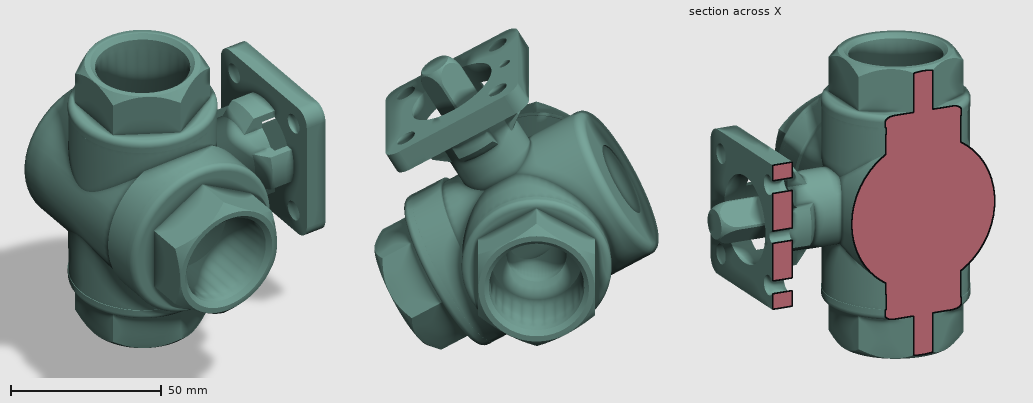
import cadquery as cq
import math


body_dia = 53.5
body_end_x = -32.8
body_end_fillet = 3.0
collar_dia = 56.0
collar_start_x = 20.8
side_lip_dia = 56.1
side_neck_end = 35.6

neck_dia = 49.6
neck_lip_dia = 50.0
neck_end = 36.0

lip_length = 4.0
lip_fillet = 2.0

recess_dia = 25.5
recess_depth = 0.5

hex_flats = 39.0
hex_corner_dia = hex_flats / math.cos(math.radians(30))
hex_chamfer = 3.15
hex_root_overlap = 1.0
vertical_port_end = 51.2
side_port_end = 51.3
bore_dia = 20.0
mouth_dia = 34.9
thread_top_dia = 31.8
thread_bottom_dia = 30.7
thread_depth = 24.0
drill_tip_angle = 118.0

housing_dia = 26.3
housing_end_y = 43.7

stem_square = 11.0
stem_corner_dia = 14.7
stem_tip_y = 67.6
stem_tip_dia = 10.3
stem_dome_length = 5.85

flange_size = 51.0
flange_corner_radius = 5.2
flange_start_y = 48.8
flange_thickness = 7.5
flange_end_y = flange_start_y + flange_thickness
flange_bore_dia = 30.7
bolt_circle_dia = 50.0
bolt_hole_dia = 7.0
bolt_offset = bolt_circle_dia / 2 * math.sin(math.radians(45))
stop_hole_dia = 4.13
stop_hole_x = -20.4

lug_width = 13.0
lug_outer_dia = 35.5
lug_taper_start_y = 40.3
lug_taper_end_y = 36.4


def cylinder_along_y(diameter, y_start, y_end, x=0.0, z=0.0):
    """Round bar parallel to Y."""
    workplane = cq.Workplane("XZ", origin=(x, y_start, z))
    return workplane.circle(diameter / 2).extrude(y_start - y_end)


def square_along_y(size, y_start, y_end):
    """Square bar centred on the Y axis."""
    return cq.Workplane("XZ", origin=(0, y_start, 0)).rect(size, size).extrude(y_start - y_end)


def lip(diameter, end):
    """Rim along Z whose outer edge, at the given height, is rounded."""
    rim = cq.Workplane("XY").workplane(offset=end - lip_length).circle(diameter / 2).extrude(lip_length)
    return rim.faces(">Z").edges().fillet(lip_fillet)


def hex_end(root, end):
    """Hexagon along Z with corners on X and a 45 degree conical chamfer at its free end."""
    start = root - hex_root_overlap
    length = end - start
    hexagon = cq.Workplane("XY").workplane(offset=start).polygon(6, hex_corner_dia).extrude(length)
    envelope = cq.Workplane("XY").workplane(offset=start).circle(hex_corner_dia / 2).extrude(length)
    return hexagon.intersect(envelope.faces(">Z").chamfer(hex_chamfer))


def port_bore(end):
    """Cutter along Z: chamfered mouth, tapered thread bore, drill-tip cone, passage to the centre."""
    bore_radius = bore_dia / 2
    mouth_radius = mouth_dia / 2
    thread_top_radius = thread_top_dia / 2
    thread_bottom_radius = thread_bottom_dia / 2
    thread_top = end - (mouth_radius - thread_top_radius)
    thread_bottom = end - thread_depth
    tip_slope = math.tan(math.radians(drill_tip_angle / 2))
    tip_bottom = thread_bottom - (thread_bottom_radius - bore_radius) / tip_slope
    profile = cq.Workplane("XZ").polyline([
        (0, 0),
        (bore_radius, 0),
        (bore_radius, tip_bottom),
        (thread_bottom_radius, thread_bottom),
        (thread_top_radius, thread_top),
        (mouth_radius, end),
        (0, end),
    ])
    return profile.close().revolve(360, (0, 0, 0), (0, 1, 0))


def to_side_port(shape):
    """Turn a shape built along +Z onto +X."""
    return shape.rotate((0, 0, 0), (0, 1, 0), 90)


def to_bottom_port(shape):
    """Turn a shape built along +Z onto -Z."""
    return shape.rotate((0, 0, 0), (1, 0, 0), 180)


def make_body():
    """Main body cylinder with its rounded closed end, recess and wider collar."""
    body_length = side_neck_end - lip_length - body_end_x
    body = cq.Workplane("YZ", origin=(body_end_x, 0, 0)).circle(body_dia / 2).extrude(body_length)
    body = body.faces("<X").edges().fillet(body_end_fillet)
    recess = cq.Workplane("YZ", origin=(body_end_x, 0, 0)).circle(recess_dia / 2).extrude(recess_depth)
    collar_length = side_neck_end - lip_length - collar_start_x
    collar = cq.Workplane("YZ", origin=(collar_start_x, 0, 0)).circle(collar_dia / 2).extrude(collar_length)
    return body.cut(recess).union(collar)


def make_vertical_port():
    """Neck, lip and hexagon of the port on +Z."""
    neck = cq.Workplane("XY").circle(neck_dia / 2).extrude(neck_end - lip_length)
    return neck.union(lip(neck_lip_dia, neck_end)).union(hex_end(neck_end, vertical_port_end))


def make_side_port():
    """Lip and hexagon of the port on +X."""
    port = lip(side_lip_dia, side_neck_end).union(hex_end(side_neck_end, side_port_end))
    return to_side_port(port)


def make_stem():
    """Square stem with rounded corners and a domed tip."""
    corner_radius = stem_corner_dia / 2
    tip_radius = stem_tip_dia / 2
    inset = corner_radius - tip_radius
    dome_radius = (inset ** 2 + stem_dome_length ** 2) / (2 * inset)
    dome_start_y = stem_tip_y - stem_dome_length
    half_angle = math.asin(stem_dome_length / dome_radius) / 2
    dome_middle = (
        corner_radius - dome_radius * (1 - math.cos(half_angle)),
        dome_start_y + dome_radius * math.sin(half_angle),
    )
    envelope = (
        cq.Workplane("XY")
        .lineTo(corner_radius, 0)
        .lineTo(corner_radius, dome_start_y)
        .threePointArc(dome_middle, (tip_radius, stem_tip_y))
        .lineTo(0, stem_tip_y)
        .close()
        .revolve(360, (0, 0, 0), (0, 1, 0))
    )
    bar = square_along_y(stem_square, housing_end_y, stem_tip_y).rotate((0, 0, 0), (0, 1, 0), 45)
    return bar.intersect(envelope)


def make_lugs():
    """Four lugs, on +X, -X, +Z and -Z, tapering into the stem housing."""
    inner_radius = flange_bore_dia / 2
    outer_radius = lug_outer_dia / 2
    housing_radius = housing_dia / 2
    ring = (
        cq.Workplane("XY")
        .moveTo(0, lug_taper_end_y)
        .lineTo(housing_radius, lug_taper_end_y)
        .lineTo(outer_radius, lug_taper_start_y)
        .lineTo(outer_radius, flange_start_y)
        .lineTo(inner_radius, flange_start_y)
        .lineTo(inner_radius, housing_end_y)
        .lineTo(0, housing_end_y)
        .close()
        .revolve(360, (0, 0, 0), (0, 1, 0))
    )
    height = flange_start_y - lug_taper_end_y
    middle_y = (flange_start_y + lug_taper_end_y) / 2
    bar_x = cq.Workplane("XY").box(lug_outer_dia, height, lug_width)
    bar_z = cq.Workplane("XY").box(lug_width, height, lug_outer_dia)
    return ring.intersect(bar_x.union(bar_z).translate((0, middle_y, 0)))


def make_flange():
    """Square flange with a central bore, four bolt holes and one stop hole."""
    flange = square_along_y(flange_size, flange_start_y, flange_end_y)
    flange = flange.edges("|Y").fillet(flange_corner_radius)
    flange = flange.cut(cylinder_along_y(flange_bore_dia, flange_start_y, flange_end_y))
    for x in (-bolt_offset, bolt_offset):
        for z in (-bolt_offset, bolt_offset):
            flange = flange.cut(cylinder_along_y(bolt_hole_dia, flange_start_y, flange_end_y, x, z))
    return flange.cut(cylinder_along_y(stop_hole_dia, flange_start_y, flange_end_y, stop_hole_x))


vertical_port = make_vertical_port()
vertical_bore = port_bore(vertical_port_end)

valve = make_body().union(make_side_port())
valve = valve.union(vertical_port).union(to_bottom_port(vertical_port))
valve = valve.union(cylinder_along_y(housing_dia, 0, housing_end_y))
valve = valve.union(make_stem()).union(make_lugs()).union(make_flange())

valve = valve.cut(vertical_bore).cut(to_bottom_port(vertical_bore))
result = valve.cut(to_side_port(port_bore(side_port_end)))